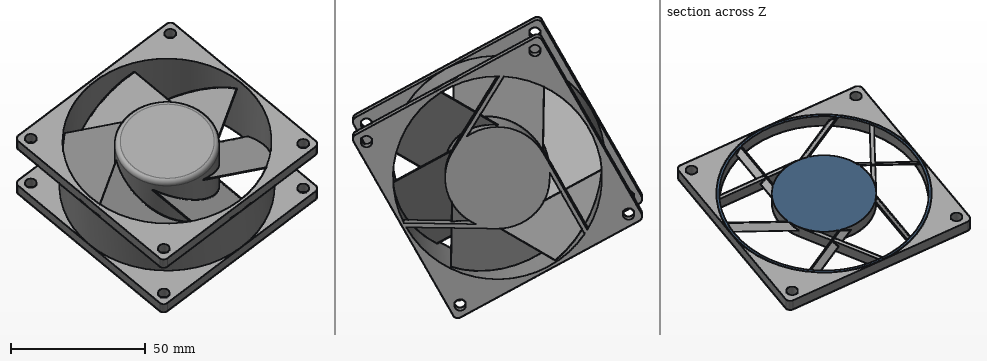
import cadquery as cq
import math

side = 80.0
height = 32.0
flange_thickness = 5.0
corner_radius = 2.0
barrel_diameter = side
bore_diameter = 77.6
hole_diameter = 4.3
hole_spacing = 71.5

hub_diameter = 38.9
hub_fillet = 2.0
blade_count = 6
blade_span = 33.4
blade_pitch = 35.0
blade_center = -1.2
blade_thickness = 0.4
blade_embed = 0.2

strut_count = 3
strut_width = 1.6
strut_height = flange_thickness
strut_angle = 30.0


def make_flange(bottom):
    """Square mounting flange with rounded corners and four screw holes."""
    return (
        cq.Workplane("XY", origin=(0, 0, bottom))
        .rect(side, side)
        .extrude(flange_thickness)
        .edges("|Z")
        .fillet(corner_radius)
        .faces(">Z")
        .workplane(origin=(0, 0, 0))
        .rect(hole_spacing, hole_spacing, forConstruction=True)
        .vertices()
        .hole(hole_diameter)
    )


def cylinder(diameter):
    """Full-height cylinder on the fan axis, centred on the origin."""
    return cq.Workplane("XY").circle(diameter / 2).extrude(height / 2, both=True)


def make_housing():
    """Round barrel between two flanges, bored through."""
    lower_flange = make_flange(-height / 2)
    upper_flange = make_flange(height / 2 - flange_thickness)
    body = cylinder(barrel_diameter).union(lower_flange).union(upper_flange)
    return body.cut(cylinder(bore_diameter))


def make_blade():
    """Flat pitched blade along +X, its high edge on the -Y side."""
    width = blade_span / math.cos(math.radians(blade_pitch))
    blank = (
        cq.Workplane("YZ")
        .rect(width, blade_thickness)
        .extrude(side / 2)
        .rotate((0, 0, 0), (1, 0, 0), -blade_pitch)
        .translate((0, 0, blade_center))
    )
    tip_limit = cylinder(bore_diameter + 2 * blade_embed)
    root_limit = cylinder(hub_diameter - 2 * blade_embed)
    return blank.intersect(tip_limit).cut(root_limit)


def make_hub():
    """Motor hub with a rounded top edge."""
    return cylinder(hub_diameter).faces(">Z").edges().fillet(hub_fillet)


def make_strut():
    """Bar at the bottom face, its outer side tangent to the hub, reaching the barrel."""
    blank = (
        cq.Workplane("XY", origin=(0, -hub_diameter / 2, -height / 2))
        .rect(side / 2, strut_width, centered=False)
        .extrude(strut_height)
        .rotate((0, 0, 0), (0, 0, 1), strut_angle)
    )
    return blank.intersect(cylinder((barrel_diameter + bore_diameter) / 2))


def add_around_axis(body, feature, count):
    """Join evenly spaced copies of a feature to the body around the fan axis."""
    for index in range(count):
        body = body.union(feature.rotate((0, 0, 0), (0, 0, 1), index * 360 / count))
    return body


result = make_housing().union(make_hub())
result = add_around_axis(result, make_strut(), strut_count)
result = add_around_axis(result, make_blade(), blade_count)